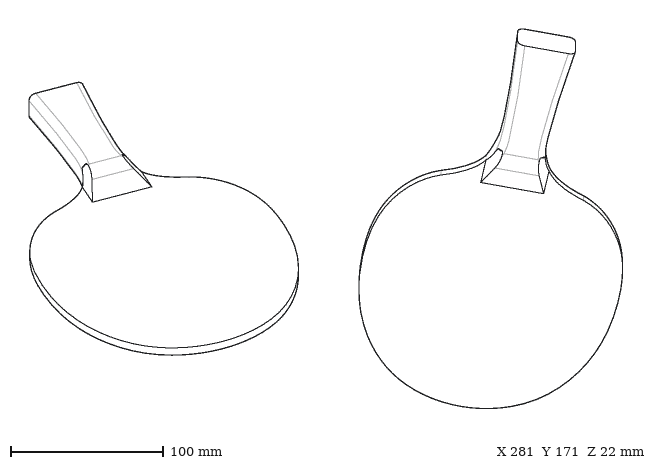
import cadquery as cq
import math

total_length = 281.0
blade_width = 171.0
blade_thickness = 6.2
grip_thickness = 22.0

butt_half_width = 19.5
handle_points = [(32.3, 16.5), (61.8, 15.2), (81.5, 16.0), (96.7, 22.8), (104.8, 32.5)]
shoulder_point = (111.5, 47.8)
head_points = [(125.0, 67.2), (145.3, 79.8)]
widest_x = 181.8
head_front_points = [(219.7, 79.8), (247.0, 66.3), (267.2, 46.0), (277.4, 24.7)]

edge_radius = 4.8
ramp_start = 89.6
grip_end = 111.8
ramp_blend_radius = 39.3
flank_start = 81.5
flank_foot_half_width = 21.0
flank_angle = 42.0

half_blade = blade_thickness / 2
half_grip = grip_thickness / 2


def mirrored(points):
    """Reflect outline points across the long axis, in reverse order."""
    return [(x, -y) for x, y in reversed(points)]


def plan_prism():
    """Extrude the complete plan outline to the full grip thickness."""
    head_side = head_points + [(widest_x, blade_width / 2)] + head_front_points
    head = head_side + [(total_length, 0)] + mirrored([shoulder_point] + head_side)
    handle_back = mirrored([(0, butt_half_width)] + handle_points)
    return (
        cq.Workplane("XY", origin=(0, 0, -half_grip))
        .moveTo(0, -butt_half_width)
        .lineTo(0, butt_half_width)
        .spline(handle_points + [shoulder_point], includeCurrent=True)
        .spline(head, includeCurrent=True)
        .spline(handle_back, includeCurrent=True)
        .close()
        .extrude(grip_thickness)
    )


def side_profile():
    """Thick grip that ramps down to the thin blade on both faces."""
    upper_line = [(0, half_grip), (ramp_start, half_grip), (grip_end, half_blade), (total_length, half_blade)]
    lower_line = mirrored(upper_line)
    profile = (
        cq.Workplane("XZ")
        .polyline(upper_line + lower_line)
        .close()
        .extrude(blade_width, both=True)
    )
    for z in (-half_grip, half_grip):
        ramp_top = cq.selectors.NearestToPointSelector((ramp_start, 0, z))
        profile = profile.edges(ramp_top).fillet(ramp_blend_radius)
    return profile


def flank_cutter(side, face):
    """Waste outside one sloping flank; side and face are the signs of Y and Z."""
    rise = half_grip - half_blade
    flank_top = flank_foot_half_width - rise / math.tan(math.radians(flank_angle))
    outside = blade_width
    return (
        cq.Workplane("YZ", origin=(flank_start, 0, 0))
        .polyline([
            (side * flank_foot_half_width, face * half_blade),
            (side * flank_top, face * half_grip),
            (side * outside, face * half_grip),
            (side * outside, face * half_blade),
        ])
        .close()
        .extrude(grip_end - flank_start)
    )


body = plan_prism().faces("<Z or >Z").edges("not(|Y)").fillet(edge_radius)
body = body.intersect(side_profile())

for side in (-1, 1):
    for face in (-1, 1):
        body = body.cut(flank_cutter(side, face))

result = body